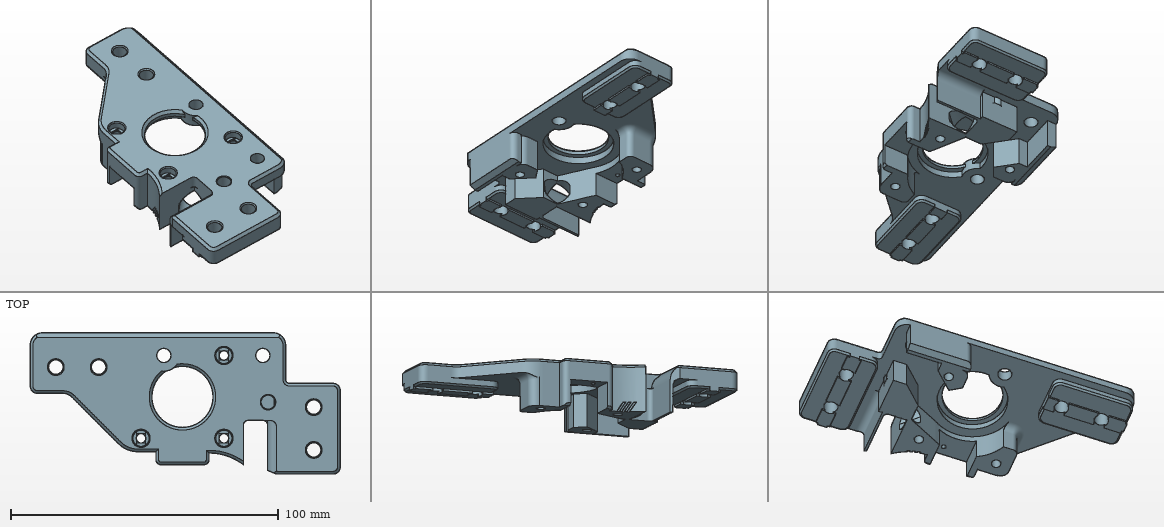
import cadquery as cq
import math

LENGTH = 116.2
DEPTH = 53.0
HEIGHT = 18.0
PLATE_BOTTOM = 12.8
WALL_BOTTOM = 9.9
RIDGE_BOTTOM = 9.1
EDGE_CHAMFER = 1.0
BACK_CHAMFER = 1.7

MOTOR_X = 57.0
MOTOR_Y = 28.9
SCREW_PITCH = 31.0
SCREW_OFFSET = SCREW_PITCH / 2
OPENING_DIAMETER = 22.8
OPENING_CHAMFER = 1.0
RECESS_DIAMETER = 26.5
RECESS_DEPTH = 2.8
CAVITY_RADIUS = 16.8
SCREW_DIAMETER = 3.5
SCREW_HEAD_DIAMETER = 6.0
SCREW_HEAD_DEPTH = 2.9
SCREW_CHAMFER = 0.41
BRIDGE_STEP = 0.3
SCREW_LEFT = MOTOR_X - SCREW_OFFSET
SCREW_RIGHT = MOTOR_X + SCREW_OFFSET
SCREW_FRONT = MOTOR_Y - SCREW_OFFSET
SCREW_BACK = MOTOR_Y + SCREW_OFFSET
SCREWS = [(SCREW_LEFT, SCREW_FRONT), (SCREW_RIGHT, SCREW_FRONT), (SCREW_RIGHT, SCREW_BACK)]

ROD_DIAMETER = 5.2
ROD_LEFT_X = 50.1
ROD_RIGHT_X = 87.1
COLLAR_RADIUS = 5.9

BLIND_X = 89.1
BLIND_Y = 27.0
BLIND_DIAMETER = 5.2
BLIND_DEPTH = 8.1
BLIND_CHAMFER = 0.29

ARM_HOLE_DIAMETER = 5.3
ARM_HOLE_CHAMFER = 0.5
ARM_HOLE_PITCH = 16.0
LEFT_ARM_FRONT = 30.2
LEFT_HOLE_X = 9.6
LEFT_HOLE_Y = 40.1
LEFT_PAD_END = 32.0
LEFT_PAD_BACK = 50.2
RIGHT_ARM_BACK = 34.0
RIGHT_HOLE_X = 106.2
RIGHT_HOLE_Y = 9.1
RIGHT_PAD_START = 96.1
PAD_RADIUS = 3.1
PAD_CHAMFER = 0.7
RIDGE_WIDTH = 5.6
RIDGE_END_WIDTH = 3.7
RIDGE_GAP = 4.2

MAIN_RIGHT = 95.7
BODY_FRONT = 8.4
BEND_X = 14.3
TAB_LEFT = 47.0
TAB_RIGHT = 67.0
TAB_FRONT = 3.5
TAB_RADIUS = 2.0
RELIEF_RADIUS = 20.9
RELIEF_END = 78.9
BACK_RADIUS = 4.8
ARM_RADIUS = 2.8
INNER_RADIUS = 1.4
BEND_RADIUS = 4.9
LEG_BEND_RADIUS = 10.0

SLOT_LEFT = 79.9
SLOT_RIGHT = 88.9
SLOT_BACK = 20.1
SLOT_RADIUS = 1.7
SLOT_EDGE_WIDTH = 3.4
SLOT_EDGE_RADIUS = 5.7
SLOT_CORNER_RADIUS = 2.3
FIN_THICKNESS = 0.9
FIN_FRONT = 1.4
FIN_FILLET = 2.8

TAB_FOOT_CHAMFER = 0.9
PIP_X = 60.1
PIP_Y = 7.0
PIP_DIAMETER = 1.7
GROOVE_COUNT = 3
GROOVE_START = 69.9
GROOVE_PITCH = 1.9
GROOVE_WIDTH = 0.9
GROOVE_LEAN = 2.3
GROOVE_HEIGHT = 3.6
GROOVE_DEPTH = 0.5

LEG_LEFT = 35.8
LEG_RIGHT = 49.6
LEG_FRONT = 8.6
LEG_BACK = 21.7
LEG_FRONT_RADIUS = 3.3
LEG_BACK_RADIUS = 2.1
LEG_FILLET = 2.8
BLOCK_LEFT = 64.5
BLOCK_LEFT_BACK = 13.9
BLOCK_STEP_X = 78.4
BLOCK_STEP_FRONT = 20.9
BLOCK_STEP_BACK = 27.9
BLOCK_BACK = 35.4
BLOCK_RIGHT = 91.3
POST_LEFT = 65.9
POST_FRONT = 38.6
POST_RADIUS = 2.9
POST_CHAMFER = 2.9
POST_CORNER_X = 70.3
POST_RIGHT = 77.3
STRIP_LEFT = 66.2
STRIP_FRONT = 49.1
STRIP_RADIUS = 2.2
STRIP_CHAMFER_DEPTH = 2.4
STRIP_CHAMFER_HEIGHT = 1.2

BORE_X = 79.1
BORE_Z = 5.5
BORE_RADIUS = 5.0
BORE_FLAT = 3.3
BORE_LENGTH = 13.9
BORE_ANGLE = 45


def box(x0, x1, y0, y1, z0, z1):
    size = (x1 - x0, y1 - y0, z1 - z0)
    return cq.Workplane("XY").box(*size, centered=False).translate((x0, y0, z0))


def cylinder(x, y, diameter, z0, z1):
    return cq.Workplane("XY", origin=(x, y, z0)).circle(diameter / 2).extrude(z1 - z0)


def cone(x, y, low_diameter, high_diameter, z0, z1):
    solid = cq.Solid.makeCone(low_diameter / 2, high_diameter / 2, z1 - z0)
    return cq.Workplane(solid.translate(cq.Vector(x, y, z0)))


def prism(points, z0, z1):
    return cq.Workplane("XY").workplane(offset=z0).polyline(points).close().extrude(z1 - z0)


def round_upright(solid, x, y, radius):
    """Fillet the upright edge that stands at (x, y)."""
    reach = 0.06
    selector = cq.selectors.BoxSelector((x - reach, y - reach, 0), (x + reach, y + reach, HEIGHT))
    return solid.edges("|Z").edges(selector).fillet(radius)


def top_hole(x, y, diameter, chamfer, bottom):
    """Hole from the top face down to a level, with a chamfered mouth."""
    mouth = cone(x, y, diameter, diameter + 2 * chamfer, HEIGHT - chamfer, HEIGHT)
    return cylinder(x, y, diameter, bottom, HEIGHT).union(mouth)


def outline_prism():
    """The plate outline, without the slot, over the whole height."""
    bend_run = LEFT_ARM_FRONT - BODY_FRONT
    leg_bend_x = BEND_X + bend_run
    relief_angle = math.asin((RELIEF_END - TAB_RIGHT) / RELIEF_RADIUS)
    relief_end_y = TAB_FRONT + (SLOT_LEFT - RELIEF_END) * math.tan(relief_angle)
    relief_center_y = relief_end_y - RELIEF_RADIUS * math.cos(relief_angle)
    relief_mid_x = TAB_RIGHT + RELIEF_RADIUS * math.sin(relief_angle / 2)
    relief_mid_y = relief_center_y + RELIEF_RADIUS * math.cos(relief_angle / 2)
    fin_corner_x = SLOT_RIGHT + SLOT_EDGE_WIDTH
    solid = (
        cq.Workplane("XY")
        .moveTo(0, DEPTH)
        .lineTo(0, LEFT_ARM_FRONT)
        .lineTo(BEND_X, LEFT_ARM_FRONT)
        .lineTo(leg_bend_x, BODY_FRONT)
        .lineTo(TAB_LEFT, BODY_FRONT)
        .lineTo(TAB_LEFT, TAB_FRONT)
        .lineTo(TAB_RIGHT, TAB_FRONT)
        .lineTo(TAB_RIGHT, relief_center_y + RELIEF_RADIUS)
        .threePointArc((relief_mid_x, relief_mid_y), (RELIEF_END, relief_end_y))
        .lineTo(SLOT_LEFT, TAB_FRONT)
        .lineTo(SLOT_RIGHT, FIN_FRONT)
        .lineTo(fin_corner_x, 0)
        .lineTo(LENGTH, 0)
        .lineTo(LENGTH, RIGHT_ARM_BACK)
        .lineTo(MAIN_RIGHT, RIGHT_ARM_BACK)
        .lineTo(MAIN_RIGHT, DEPTH)
        .close()
        .extrude(HEIGHT)
    )
    corners = [
        (0, DEPTH, BACK_RADIUS),
        (MAIN_RIGHT, DEPTH, BACK_RADIUS),
        (0, LEFT_ARM_FRONT, ARM_RADIUS),
        (BEND_X, LEFT_ARM_FRONT, BEND_RADIUS),
        (leg_bend_x, BODY_FRONT, LEG_BEND_RADIUS),
        (TAB_LEFT, TAB_FRONT, TAB_RADIUS),
        (TAB_RIGHT, TAB_FRONT, TAB_RADIUS),
        (LENGTH, 0, ARM_RADIUS),
        (LENGTH, RIGHT_ARM_BACK, ARM_RADIUS),
        (MAIN_RIGHT, RIGHT_ARM_BACK, INNER_RADIUS),
    ]
    for x, y, radius in corners:
        solid = round_upright(solid, x, y, radius)
    return solid.faces(">Z").edges().chamfer(EDGE_CHAMFER)


def pad(x0, x1, y0, y1, free_corners):
    """Raised pad under an arm, flush with the outline, with a chamfered lower edge."""
    body = box(x0, x1, y0, y1, WALL_BOTTOM, PLATE_BOTTOM)
    for x, y in free_corners:
        body = round_upright(body, x, y, PAD_RADIUS)
    body = body.intersect(outline)
    return body.faces("<Z").chamfer(PAD_CHAMFER)


def left_pad():
    """Left pad with a locating ridge along X, broken at the two holes."""
    free_corners = [(0, LEFT_PAD_BACK), (LEFT_PAD_END, LEFT_PAD_BACK), (LEFT_PAD_END, LEFT_ARM_FRONT)]
    body = pad(0, LEFT_PAD_END, LEFT_ARM_FRONT, LEFT_PAD_BACK, free_corners)
    wide = RIDGE_WIDTH / 2
    narrow = RIDGE_END_WIDTH / 2
    ridge = box(0, LEFT_PAD_END, LEFT_HOLE_Y - narrow, LEFT_HOLE_Y + narrow, RIDGE_BOTTOM, PLATE_BOTTOM)
    ridge = ridge.union(
        box(PAD_CHAMFER, LEFT_PAD_END, LEFT_HOLE_Y - wide, LEFT_HOLE_Y + wide, RIDGE_BOTTOM, PLATE_BOTTOM)
    )
    for x in (LEFT_HOLE_X, LEFT_HOLE_X + ARM_HOLE_PITCH):
        gap = RIDGE_GAP / 2
        ridge = ridge.cut(box(x - gap, x + gap, LEFT_ARM_FRONT, DEPTH, 0, WALL_BOTTOM))
    return body.union(ridge)


def right_pad():
    """Right pad with a locating ridge along Y, broken at the two holes."""
    free_corners = [(RIGHT_PAD_START, 0), (RIGHT_PAD_START, RIGHT_ARM_BACK)]
    body = pad(RIGHT_PAD_START, LENGTH, 0, RIGHT_ARM_BACK, free_corners)
    wide = RIDGE_WIDTH / 2
    narrow = RIDGE_END_WIDTH / 2
    ridge = box(RIGHT_HOLE_X - narrow, RIGHT_HOLE_X + narrow, 0, RIGHT_ARM_BACK, RIDGE_BOTTOM, PLATE_BOTTOM)
    inner_back = RIGHT_ARM_BACK - PAD_CHAMFER
    ridge = ridge.union(
        box(RIGHT_HOLE_X - wide, RIGHT_HOLE_X + wide, PAD_CHAMFER, inner_back, RIDGE_BOTTOM, PLATE_BOTTOM)
    )
    for y in (RIGHT_HOLE_Y, RIGHT_HOLE_Y + ARM_HOLE_PITCH):
        gap = RIDGE_GAP / 2
        ridge = ridge.cut(box(RIGHT_PAD_START, LENGTH, y - gap, y + gap, 0, WALL_BOTTOM))
    return body.union(ridge)


def left_leg():
    """Front left leg, flared into the plate above it, with a foot that follows the outline to the tab."""
    post = box(LEG_LEFT, LEG_RIGHT, LEG_FRONT, LEG_BACK, 0, PLATE_BOTTOM)
    post = round_upright(post, LEG_LEFT, LEG_FRONT, LEG_FRONT_RADIUS)
    post = round_upright(post, LEG_LEFT, LEG_BACK, LEG_BACK_RADIUS)
    margin = 2 * LEG_FILLET
    slab = box(
        LEG_LEFT - margin, LEG_RIGHT + margin, LEG_FRONT - margin, LEG_BACK + margin, PLATE_BOTTOM, HEIGHT
    )
    reach = 0.1
    root = cq.selectors.BoxSelector(
        (LEG_LEFT - reach, LEG_FRONT - reach, PLATE_BOTTOM - reach),
        (LEG_RIGHT + reach, LEG_BACK + reach, PLATE_BOTTOM + reach),
    )
    flared = post.union(slab).edges(root).fillet(LEG_FILLET)
    flared = flared.intersect(box(0, LEG_RIGHT, 0, DEPTH, 0, PLATE_BOTTOM))
    foot = box(LEG_LEFT + LEG_FRONT_RADIUS, LEG_RIGHT, TAB_FRONT, LEG_BACK, 0, PLATE_BOTTOM)
    return flared.union(foot)


def right_block():
    """Front right block behind the relief arc, wrapped around the slot, and the wall behind the tab."""
    points = [
        (BLOCK_LEFT, 0),
        (BLOCK_LEFT, BLOCK_LEFT_BACK),
        (BLOCK_STEP_X, BLOCK_STEP_FRONT),
        (BLOCK_STEP_X, BLOCK_STEP_BACK),
        (BLOCK_STEP_X + BLOCK_BACK - BLOCK_STEP_BACK, BLOCK_BACK),
        (BLOCK_RIGHT, BLOCK_BACK),
        (BLOCK_RIGHT, SLOT_BACK),
        (SLOT_LEFT, SLOT_BACK),
        (SLOT_LEFT, 0),
    ]
    wall = box(LEG_RIGHT, BLOCK_LEFT, TAB_FRONT, BLOCK_LEFT_BACK, WALL_BOTTOM, PLATE_BOTTOM)
    return prism(points, 0, PLATE_BOTTOM).union(wall)


def fin():
    """Thin wall on the right of the slot, curved into the underside of the plate."""
    right = SLOT_RIGHT + FIN_THICKNESS
    bend = FIN_FILLET * math.sqrt(0.5)
    return (
        cq.Workplane("XZ", origin=(0, SLOT_BACK, 0))
        .moveTo(SLOT_RIGHT - SLOT_RADIUS, 0)
        .lineTo(right, 0)
        .lineTo(right, PLATE_BOTTOM - FIN_FILLET)
        .threePointArc(
            (right + FIN_FILLET - bend, PLATE_BOTTOM - FIN_FILLET + bend),
            (right + FIN_FILLET, PLATE_BOTTOM),
        )
        .lineTo(SLOT_RIGHT - SLOT_RADIUS, PLATE_BOTTOM)
        .close()
        .extrude(SLOT_BACK)
    )


def rear_post():
    """Post under the rear screw, joined to a strip along the back edge."""
    slope_end = POST_FRONT + POST_RIGHT - POST_CORNER_X
    points = [
        (POST_LEFT, POST_FRONT + POST_CHAMFER),
        (POST_CORNER_X, POST_FRONT),
        (POST_RIGHT, slope_end),
        (POST_RIGHT, STRIP_FRONT),
        (POST_LEFT, STRIP_FRONT),
    ]
    post = prism(points, 0, PLATE_BOTTOM)
    post = round_upright(post, POST_LEFT, STRIP_FRONT, POST_RADIUS)
    strip = box(STRIP_LEFT, BLOCK_RIGHT, STRIP_FRONT, DEPTH, 0, PLATE_BOTTOM)
    strip = round_upright(strip, STRIP_LEFT, DEPTH, STRIP_RADIUS)
    wedge = (
        cq.Workplane("YZ", origin=(POST_LEFT, 0, 0))
        .polyline([(DEPTH, 0), (DEPTH - STRIP_CHAMFER_DEPTH, 0), (DEPTH, STRIP_CHAMFER_HEIGHT)])
        .close()
        .extrude(BLOCK_RIGHT - POST_LEFT)
    )
    return post.union(strip.cut(wedge))


def back_chamfer_cut():
    """Wider chamfer along the top of the back edge."""
    return (
        cq.Workplane("YZ")
        .polyline([(DEPTH, HEIGHT), (DEPTH - BACK_CHAMFER, HEIGHT), (DEPTH, HEIGHT - BACK_CHAMFER)])
        .close()
        .extrude(LENGTH)
    )


def slot_cut():
    """Slot open to the front, with its right top edge rounded over."""
    slot = box(SLOT_LEFT, SLOT_RIGHT, 0, SLOT_BACK, 0, HEIGHT)
    slot = slot.edges("|Z and >Y").fillet(SLOT_RADIUS)
    edge_x = SLOT_RIGHT + SLOT_EDGE_WIDTH
    arc_width = SLOT_EDGE_WIDTH - EDGE_CHAMFER
    arc_angle = math.acos(1 - arc_width / SLOT_EDGE_RADIUS)
    arc_top = HEIGHT - EDGE_CHAMFER
    arc_bottom = arc_top - SLOT_EDGE_RADIUS * math.sin(arc_angle)
    arc_mid_x = SLOT_RIGHT + SLOT_EDGE_RADIUS * (1 - math.cos(arc_angle / 2))
    arc_mid_z = arc_bottom + SLOT_EDGE_RADIUS * math.sin(arc_angle / 2)
    edge = (
        cq.Workplane("XZ", origin=(0, SLOT_BACK, 0))
        .moveTo(SLOT_RIGHT, arc_bottom)
        .threePointArc((arc_mid_x, arc_mid_z), (SLOT_RIGHT + arc_width, arc_top))
        .lineTo(edge_x, HEIGHT)
        .lineTo(SLOT_LEFT + SLOT_RADIUS, HEIGHT)
        .lineTo(SLOT_LEFT + SLOT_RADIUS, arc_bottom)
        .close()
        .extrude(SLOT_BACK)
    )
    corner = box(SLOT_LEFT, edge_x, 0, SLOT_BACK, 0, HEIGHT)
    corner = round_upright(corner, edge_x, SLOT_BACK, SLOT_CORNER_RADIUS)
    return slot.union(edge.intersect(corner))


def opening_cut():
    """Chamfered motor opening above a wider recess, kept clear of the collar around the left rod hole."""
    opening = top_hole(MOTOR_X, MOTOR_Y, OPENING_DIAMETER, OPENING_CHAMFER, PLATE_BOTTOM)
    opening = opening.union(
        cylinder(MOTOR_X, MOTOR_Y, RECESS_DIAMETER, PLATE_BOTTOM, PLATE_BOTTOM + RECESS_DEPTH)
    )
    return opening.cut(cylinder(ROD_LEFT_X, SCREW_BACK, 2 * COLLAR_RADIUS, PLATE_BOTTOM, HEIGHT))


def screw_cut(x, y):
    """Screw hole with a chamfered head recess and two bridging steps below it."""
    floor = HEIGHT - SCREW_HEAD_DEPTH
    half = SCREW_DIAMETER / 2
    reach = SCREW_HEAD_DIAMETER
    head = top_hole(x, y, SCREW_HEAD_DIAMETER, SCREW_CHAMFER, floor)
    band = box(x - half, x + half, y - reach, y + reach, floor - BRIDGE_STEP, floor)
    band = band.intersect(cylinder(x, y, SCREW_HEAD_DIAMETER, floor - BRIDGE_STEP, floor))
    square = box(x - half, x + half, y - half, y + half, floor - 2 * BRIDGE_STEP, floor)
    return head.union(band).union(square).union(cylinder(x, y, SCREW_DIAMETER, 0, floor))


def tab_foot_cut():
    """Chamfer along the bottom front edge of the two full-height tab corners."""
    return (
        cq.Workplane("YZ", origin=(TAB_LEFT, 0, 0))
        .polyline([(TAB_FRONT, 0), (TAB_FRONT + TAB_FOOT_CHAMFER, 0), (TAB_FRONT, TAB_FOOT_CHAMFER)])
        .close()
        .extrude(TAB_RIGHT - TAB_LEFT)
    )


def grooves_cut():
    """Shallow leaning grooves at the foot of the relief arc."""
    grooves = cq.Workplane("XY")
    for index in range(GROOVE_COUNT):
        x = GROOVE_START + index * GROOVE_PITCH
        top_x = x + GROOVE_LEAN
        corners = [
            (x, 0),
            (x + GROOVE_WIDTH, 0),
            (top_x + GROOVE_WIDTH, GROOVE_HEIGHT),
            (top_x, GROOVE_HEIGHT),
        ]
        groove = cq.Workplane("XZ", origin=(0, BODY_FRONT, 0)).polyline(corners).close().extrude(BODY_FRONT)
        grooves = grooves.union(groove)
    return grooves.cut(outline.translate((0, GROOVE_DEPTH, 0)))


def pip():
    """Small pointed pip under the wall behind the tab."""
    return cone(PIP_X, PIP_Y, 0, PIP_DIAMETER, RIDGE_BOTTOM, WALL_BOTTOM)


def bore_cut():
    """Level slanting bore with a flat on each side."""
    side = math.sqrt(BORE_RADIUS**2 - (BORE_FLAT / 2) ** 2)
    bore = cq.Workplane("XZ").circle(BORE_RADIUS).extrude(BORE_LENGTH / 2, both=True)
    bore = bore.intersect(box(-side, side, -BORE_LENGTH, BORE_LENGTH, -BORE_RADIUS, BORE_RADIUS))
    return bore.rotate((0, 0, 0), (0, 0, 1), BORE_ANGLE).translate((BORE_X, SLOT_BACK, BORE_Z))


outline = outline_prism()
plate = outline.intersect(box(0, LENGTH, 0, DEPTH, PLATE_BOTTOM, HEIGHT))

legs = left_leg().union(right_block())
legs = legs.cut(cylinder(MOTOR_X, MOTOR_Y, 2 * CAVITY_RADIUS, 0, PLATE_BOTTOM))
legs = legs.cut(bore_cut())
legs = legs.union(fin()).union(rear_post()).union(left_pad()).union(right_pad())

result = plate.union(legs.intersect(outline)).union(pip())
result = result.cut(back_chamfer_cut()).cut(slot_cut()).cut(opening_cut())
result = result.cut(tab_foot_cut()).cut(grooves_cut())

for screw_x, screw_y in SCREWS:
    result = result.cut(screw_cut(screw_x, screw_y))
for rod_x in (ROD_LEFT_X, ROD_RIGHT_X):
    result = result.cut(cylinder(rod_x, SCREW_BACK, ROD_DIAMETER, 0, HEIGHT))
for step in (0, ARM_HOLE_PITCH):
    result = result.cut(top_hole(LEFT_HOLE_X + step, LEFT_HOLE_Y, ARM_HOLE_DIAMETER, ARM_HOLE_CHAMFER, 0))
    result = result.cut(top_hole(RIGHT_HOLE_X, RIGHT_HOLE_Y + step, ARM_HOLE_DIAMETER, ARM_HOLE_CHAMFER, 0))
result = result.cut(top_hole(BLIND_X, BLIND_Y, BLIND_DIAMETER, BLIND_CHAMFER, HEIGHT - BLIND_DEPTH))